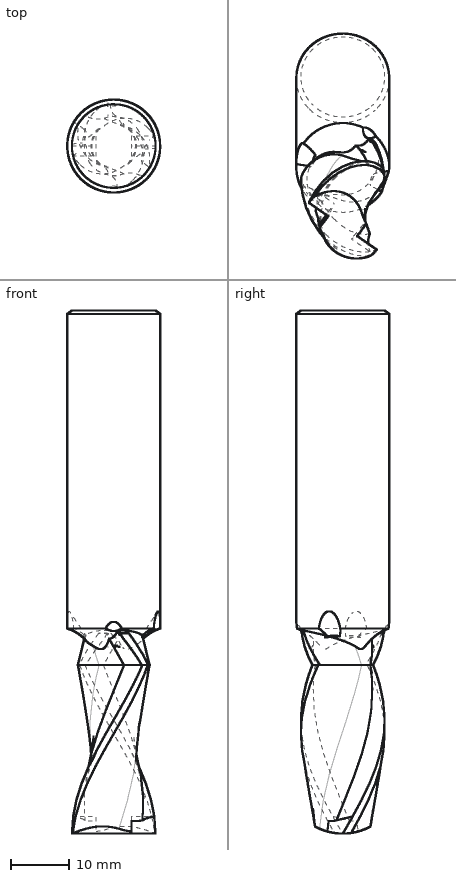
import cadquery as cq
import math

TOTAL_LENGTH = 90.0
SHANK_RADIUS = 8.0
SHANK_BOTTOM = 35.3
TOP_CHAMFER_HEIGHT = 0.6
TOP_CHAMFER_WIDTH = 0.8
CUTTER_RADIUS = 7.2
CUTTER_LENGTH = 29.0
HELIX_ANGLE = 30.0
LAND_ANGLE = 11.0

CORE_RADIUS = 3.15
RUNOUT_TOP = 36.45
RUNOUT_TWIST = -48.0
FLARE_TOP = 35.3
FLARE_MIDDLE_RADIUS = 4.9
FLARE_MIDDLE_HEIGHT = 33.3

NOTCH_RADIUS = 2.0
NOTCH_TILT = 35.0
NOTCH_INNER_LENGTH = 2.25
NOTCH_OUTER_LENGTH = 5.4
SHORT_NOTCH_ANGLE = 270.0
SHORT_NOTCH_TOP = 36.45
LONG_NOTCH_ANGLE = 163.0
LONG_NOTCH_TOP = 38.25

NECK_RADIUS = 7.1
NECK_STEP_HEIGHT = 0.8

RELIEF_DEPTH = 1.35
RELIEF_HALF_WIDTH = 4.95
GASH_INNER = 3.1
GASH_HEIGHT = 3.0
GASH_DROP = 0.8

LEAD = 2 * math.pi * CUTTER_RADIUS / math.tan(math.radians(HELIX_ANGLE))


def helix_rotation(height):
    """Helix rotation, in degrees, at a height above the tip."""
    return 360 * height / LEAD


def polar(radius, degrees):
    angle = math.radians(degrees)
    return (radius * math.cos(angle), radius * math.sin(angle))


def opposite(point):
    return (-point[0], -point[1])


def flute_section():
    """Two teeth, each a narrow land, a convex back and a concave flute."""
    tip = (CUTTER_RADIUS, 0)
    land_middle = polar(CUTTER_RADIUS, LAND_ANGLE / 2)
    land_end = polar(CUTTER_RADIUS, LAND_ANGLE)
    back_middle = (4.7, 3.9)
    back_end = (-0.6, 4.05)
    flute_middle = (-2.7, 2.9)
    flute_end = (-4.7, 2.0)
    hook_middle = (-5.8, 0.7)
    outline = cq.Workplane("XY").moveTo(*tip)
    for turn in (tuple, opposite):
        outline = (
            outline.threePointArc(turn(land_middle), turn(land_end))
            .threePointArc(turn(back_middle), turn(back_end))
            .threePointArc(turn(flute_middle), turn(flute_end))
            .threePointArc(turn(hook_middle), opposite(turn(tip)))
        )
    return outline.close()


def fluted_bar(bottom, length, twist):
    """Twisted bar whose lower end continues the cutter helix at that height."""
    return (
        flute_section()
        .twistExtrude(length, twist)
        .rotate((0, 0, 0), (0, 0, 1), helix_rotation(bottom))
        .translate((0, 0, bottom))
    )


def end_relief():
    """Prism along X whose arched underside slopes up from the cutting edges."""
    reach = 2 * CUTTER_RADIUS
    slope_end = RELIEF_DEPTH * (reach / RELIEF_HALF_WIDTH)
    return (
        cq.Workplane("YZ")
        .moveTo(-RELIEF_HALF_WIDTH, RELIEF_DEPTH)
        .threePointArc((0, 0), (RELIEF_HALF_WIDTH, RELIEF_DEPTH))
        .lineTo(reach, slope_end)
        .lineTo(reach, CUTTER_LENGTH)
        .lineTo(-reach, CUTTER_LENGTH)
        .lineTo(-reach, slope_end)
        .close()
        .extrude(reach, both=True)
    )


def gash():
    """Notch in front of the cutting edge on the +X side."""
    rake_offset = GASH_HEIGHT * math.tan(math.radians(HELIX_ANGLE))
    return (
        cq.Workplane("YZ", origin=(GASH_INNER, 0, 0))
        .polyline([
            (0, 0),
            (rake_offset, GASH_HEIGHT),
            (-rake_offset, GASH_HEIGHT - GASH_DROP),
            (-CUTTER_RADIUS, GASH_HEIGHT - GASH_DROP),
            (-CUTTER_RADIUS, 0),
        ])
        .close()
        .extrude(CUTTER_RADIUS)
    )


def make_cutter():
    cutter = fluted_bar(0, CUTTER_LENGTH, helix_rotation(CUTTER_LENGTH)).intersect(end_relief())
    for angle in (0, 180):
        cutter = cutter.cut(gash().rotate((0, 0, 0), (0, 0, 1), angle))
    return cutter


def shank_blank():
    return (
        cq.Workplane("XZ")
        .polyline([
            (0, CUTTER_LENGTH),
            (NECK_RADIUS, CUTTER_LENGTH),
            (NECK_RADIUS, SHANK_BOTTOM - NECK_STEP_HEIGHT),
            (SHANK_RADIUS, SHANK_BOTTOM),
            (SHANK_RADIUS, TOTAL_LENGTH - TOP_CHAMFER_HEIGHT),
            (SHANK_RADIUS - TOP_CHAMFER_WIDTH, TOTAL_LENGTH),
            (0, TOTAL_LENGTH),
        ])
        .close()
        .revolve(360, (0, 0), (0, 1))
    )


def runout_flare():
    """Concave flare from the flute core out to the shank surface."""
    middle = (FLARE_MIDDLE_RADIUS, FLARE_MIDDLE_HEIGHT)
    return (
        cq.Workplane("XZ")
        .moveTo(0, CUTTER_LENGTH)
        .lineTo(CORE_RADIUS, CUTTER_LENGTH)
        .threePointArc(middle, (SHANK_RADIUS, FLARE_TOP))
        .lineTo(2 * SHANK_RADIUS, FLARE_TOP)
        .lineTo(2 * SHANK_RADIUS, RUNOUT_TOP)
        .lineTo(0, RUNOUT_TOP)
        .close()
        .revolve(360, (0, 0), (0, 1))
    )


def runout_notch(angle, top):
    """Cylinder leaning outward, its upper side meeting the shank surface at the given height."""
    axis_height = top - NOTCH_RADIUS / math.sin(math.radians(NOTCH_TILT))
    return (
        cq.Workplane("XY")
        .circle(NOTCH_RADIUS)
        .extrude(NOTCH_INNER_LENGTH + NOTCH_OUTER_LENGTH)
        .translate((0, 0, -NOTCH_INNER_LENGTH))
        .rotate((0, 0, 0), (0, 1, 0), NOTCH_TILT)
        .translate((SHANK_RADIUS, 0, axis_height))
        .rotate((0, 0, 0), (0, 0, 1), angle)
    )


def make_shank():
    """Round shank whose lower end is cut by the flutes swinging back as they run out."""
    teeth = fluted_bar(CUTTER_LENGTH, RUNOUT_TOP - CUTTER_LENGTH, RUNOUT_TWIST)
    removed = (
        cq.Workplane("XY", origin=(0, 0, CUTTER_LENGTH))
        .circle(2 * SHANK_RADIUS)
        .extrude(RUNOUT_TOP - CUTTER_LENGTH)
        .cut(teeth)
        .cut(runout_flare())
    )
    body = shank_blank().cut(removed)
    for half_turn in (0, 180):
        body = body.cut(runout_notch(SHORT_NOTCH_ANGLE + half_turn, SHORT_NOTCH_TOP))
        body = body.cut(runout_notch(LONG_NOTCH_ANGLE + half_turn, LONG_NOTCH_TOP))
    return body


shank = make_shank()
cutter = make_cutter()
result = cq.Compound.makeCompound([*shank.solids().vals(), *cutter.solids().vals()])